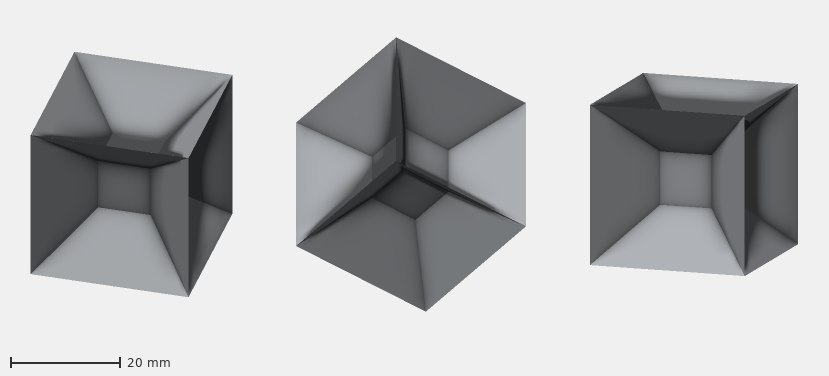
import cadquery as cq

CUBE_SIZE = 30.0
CORE_SIZE = 10.0
CORE_SHIFT_Y = 0.15
WEB_INSET = 0.002

HALF_CUBE = CUBE_SIZE / 2
HALF_CORE = CORE_SIZE / 2
CORE_CENTER = (0.0, CORE_SHIFT_Y, 0.0)
CUBE_CENTER = (0.0, 0.0, 0.0)
AXES = (0, 1, 2)
SIDES = (-1, 1)
CORNER_SIGNS = ((-1, -1), (1, -1), (1, 1), (-1, 1))


def face_corners(axis, side, center, half_size):
    """Corners of one face of a cube, pulled in by the web inset."""
    first_axis, second_axis = [other for other in AXES if other != axis]
    half_width = half_size - WEB_INSET
    corners = []
    for first_sign, second_sign in CORNER_SIGNS:
        point = list(center)
        point[axis] += side * half_size
        point[first_axis] += first_sign * half_width
        point[second_axis] += second_sign * half_width
        corners.append(cq.Vector(*point))
    return corners


def make_pit(axis, side):
    """Tapered pit from a face of the outer cube down to the same face of the core."""
    mouth = cq.Wire.makePolygon(face_corners(axis, side, CUBE_CENTER, HALF_CUBE), close=True)
    floor = cq.Wire.makePolygon(face_corners(axis, side, CORE_CENTER, HALF_CORE), close=True)
    return cq.Workplane(obj=cq.Solid.makeLoft([mouth, floor], ruled=True))


result = cq.Workplane("XY").box(CUBE_SIZE, CUBE_SIZE, CUBE_SIZE)
for pit_axis in AXES:
    for pit_side in SIDES:
        result = result.cut(make_pit(pit_axis, pit_side))